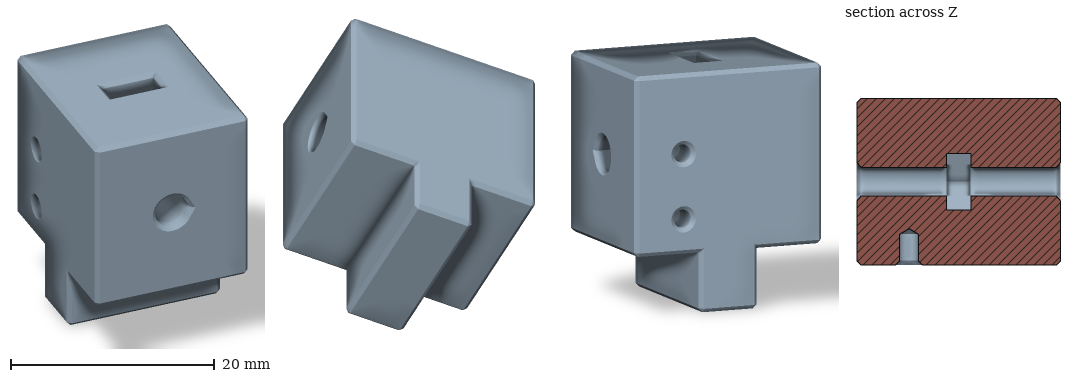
import cadquery as cq
import math

width = 20.0
depth = 16.35
height = 24
stem_width = 6.2
stem_height = 6
body_height = height - stem_height
chamfer = 0.4

screw_diameter = 3.4
screw_z = stem_height + body_height / 2
point_half_angle = math.radians(30)

nut_flats = 5.5
nut_thickness = 2.4
floor_slope = math.radians(30)

blind_diameter = 1.8
blind_depth = 3.0
blind_tip_angle = math.radians(118)
blind_x = -4.87
blind_heights = (9.48, 15.98)


def make_block():
    """T-shaped block, centred in X and Y, with every convex edge chamfered."""
    body = cq.Workplane("XY").box(width, depth, body_height, centered=(True, True, False))
    body = body.translate((0, 0, stem_height))
    stem = cq.Workplane("XY").box(stem_width, depth, stem_height, centered=(True, True, False))
    block = body.union(stem)
    concave_edges = cq.selectors.BoxSelector(
        (-stem_width, -chamfer, stem_height - chamfer),
        (stem_width, chamfer, stem_height + chamfer),
    )
    return block.edges(cq.selectors.InverseSelector(concave_edges)).chamfer(chamfer)


def screw_outline(x, radius):
    """Closed round outline with a point toward +Y, in the plane at x."""
    tangent_y = radius * math.cos(point_half_angle)
    tangent_z = radius * math.sin(point_half_angle)
    return (
        cq.Workplane("YZ", origin=(x, 0, screw_z))
        .moveTo(tangent_y, tangent_z)
        .threePointArc((-radius, 0), (tangent_y, -tangent_z))
        .lineTo(radius / math.cos(point_half_angle), 0)
        .close()
    )


def make_screw_hole():
    """Through hole with a chamfered mouth at both ends."""
    radius = screw_diameter / 2
    hole = screw_outline(-width / 2, radius).extrude(width)
    for side in (-1, 1):
        face_x = side * width / 2
        mouth = screw_outline(face_x, radius + chamfer).wire().val()
        throat = screw_outline(face_x - side * chamfer, radius).wire().val()
        hole = hole.union(cq.Workplane(cq.Solid.makeLoft([mouth, throat], True)))
    return hole


def make_nut_slot():
    """Vertical slot with a V-shaped floor and a chamfered mouth."""
    half_flats = nut_flats / 2
    shoulder_z = screw_z - half_flats * math.tan(floor_slope)
    floor_z = screw_z - half_flats / math.cos(floor_slope)
    slot = (
        cq.Workplane("YZ")
        .polyline([
            (-half_flats, height),
            (-half_flats, shoulder_z),
            (0, floor_z),
            (half_flats, shoulder_z),
            (half_flats, height),
        ])
        .close()
        .extrude(nut_thickness / 2, both=True)
    )
    mouth = (
        cq.Workplane("XY", origin=(0, 0, height - chamfer))
        .rect(nut_thickness, nut_flats)
        .workplane(offset=chamfer)
        .rect(nut_thickness + 2 * chamfer, nut_flats + 2 * chamfer)
        .loft(ruled=True)
    )
    return slot.union(mouth)


def make_blind_hole(z):
    """Round hole from the -Y face with a chamfered mouth and a conical end."""
    radius = blind_diameter / 2
    tip_length = radius / math.tan(blind_tip_angle / 2)
    profile = (
        cq.Workplane("XY")
        .polyline([
            (0, 0),
            (radius + chamfer, 0),
            (radius, chamfer),
            (radius, blind_depth),
            (0, blind_depth + tip_length),
        ])
        .close()
    )
    hole = profile.revolve(360, (0, 0), (0, 1))
    return hole.translate((blind_x, -depth / 2, z))


result = make_block().cut(make_screw_hole()).cut(make_nut_slot())
for blind_z in blind_heights:
    result = result.cut(make_blind_hole(blind_z))